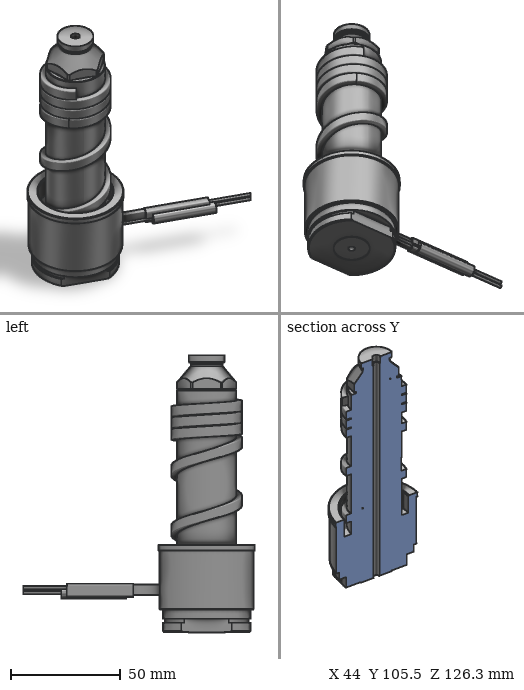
import cadquery as cq
import math

foot_radius = 8.2
flange_bottom = 0.4
groove_bottom = 4.5
groove_top = 6.5
cup_bottom = 10.5
rim_bottom = 37.3
rim_top = 40.2
flange_radius = 20.0
groove_radius = 19.2
cup_radius = 21.5
rim_radius = 22.0
flange_chamfer = 0.5
edge_chamfer = 0.4
flat_half_width = 16.3
bore_radius = 16.9
bore_chamfer = 0.5
bore_floor = 30.3

tube_radius = 13.5
tube_top = 110.3
tube_chamfer = 0.3
seat_radius = 11.0
hex_bottom = 110.9
hex_sides = 6
hex_across_flats = 23.9
hex_corner_radius = 13.5
cone_bottom = 113.9
cone_top = 121.2
collar_radius = 7.3
collar_top = 122.1
neck_radius = 7.1
cap_bottom = 122.9
cap_radius = 8.2
part_height = 126.3
channel_radius = 1.5
orifice_radius = 2.0
orifice_depth = 3.8

coil_outer_radius = 16.2
coil_height = 4.9
coil_fillet = 0.5
path_step = 10.0
coil_embed = 0.3
coil_start_angle = -15.0
coil_start_top = 106.8
tight_gap = 0.32
tight_pitch = coil_height + tight_gap
open_pitch = 27.2
tight_sweep = 1092.0
blend_sweep = 119.0
open_sweep = 750.0

lead_x = -1.6
lead_z = 19.6
lead_width = 2.5
lead_fillet = 0.4
lead_start = 19.0
sensor_x = 0.5
sensor_z = 18.0
sensor_radius = 0.6
sleeve_x = -1.3
sleeve_z = 19.3
sleeve_width = 4.2
sleeve_height = 6.0
sleeve_fillet = 1.0
sleeve_start = 33.3
sleeve_end = 63.5
tube_sleeve_x = 0.1
tube_sleeve_z = 18.0
tube_sleeve_radius = 2.7
tube_sleeve_start = 36.5
tube_sleeve_end = 66.2
wire_x = -1.5
wire_radius = 0.8
wire_heights = (20.6, 18.3)
wire_end = 83.5


def disc(radius, bottom, top):
    return cq.Workplane("XY").workplane(offset=bottom).circle(radius).extrude(top - bottom)


def rod_along_y(x, z, radius, start, end):
    return cq.Workplane("XZ", origin=(x, start, z)).circle(radius).extrude(start - end)


def bar_along_y(x, z, width, height, fillet, start, end):
    bar = cq.Workplane("XZ", origin=(x, start, z)).rect(width, height).extrude(start - end)
    return bar.edges("|Y").fillet(fillet)


def make_cup():
    """Flanged cup with two wrench flats facing X and a chamfered bore around the tube."""
    foot = disc(foot_radius, 0, groove_bottom)
    flange = disc(flange_radius, flange_bottom, groove_bottom).faces("<Z").chamfer(flange_chamfer)
    groove = disc(groove_radius, groove_bottom, groove_top)
    flats = cq.Workplane("XY").box(
        2 * flat_half_width, 2 * cup_radius, groove_top, centered=(True, True, False)
    )
    lower = foot.union(flange).union(groove).intersect(flats)
    shoulder = disc(flange_radius, groove_top, cup_bottom)
    body = disc(cup_radius, cup_bottom, rim_bottom).faces("<Z").chamfer(edge_chamfer)
    rim = disc(rim_radius, rim_bottom, rim_top).edges().chamfer(edge_chamfer)
    bore = disc(bore_radius, bore_floor, rim_top)
    bore_mouth = (
        cq.Workplane("XY")
        .workplane(offset=rim_top)
        .circle(bore_radius + bore_chamfer)
        .extrude(-bore_chamfer, taper=45)
    )
    return lower.union(shoulder).union(body).union(rim).cut(bore).cut(bore_mouth)


def make_tube():
    """Plain tube with a narrower seat that carries the tip."""
    tube = disc(tube_radius, bore_floor, tube_top).faces(">Z").chamfer(tube_chamfer)
    return tube.union(disc(seat_radius, tube_top, hex_bottom))


def make_tip():
    """Hexagonal nut with corners on Y, a turned cone, a necked collar and a round cap."""
    nut_profile = [
        (0, hex_bottom),
        (hex_corner_radius, hex_bottom),
        (hex_corner_radius, cone_bottom),
        (collar_radius, cone_top),
        (0, cone_top),
    ]
    turned = cq.Workplane("XZ").polyline(nut_profile).close().revolve()
    hexagon = (
        cq.Workplane("XY")
        .workplane(offset=hex_bottom)
        .transformed(rotate=(0, 0, 180 / hex_sides))
        .polygon(hex_sides, hex_across_flats / math.cos(math.pi / hex_sides))
        .extrude(cone_top - hex_bottom)
    )
    collar = disc(collar_radius, cone_top, collar_top)
    neck = disc(neck_radius, collar_top, cap_bottom)
    cap = disc(cap_radius, cap_bottom, part_height).faces("<Z").chamfer(edge_chamfer)
    return turned.intersect(hexagon).union(collar).union(neck).union(cap)


def coil_drop(sweep):
    """Fall of the coil below its upper end after winding the given number of degrees."""
    tight = min(sweep, tight_sweep)
    blend = min(max(sweep - tight_sweep, 0), blend_sweep)
    opened = max(sweep - tight_sweep - blend_sweep, 0)
    pitch_growth = (open_pitch - tight_pitch) * blend / blend_sweep
    blend_pitch = tight_pitch + pitch_growth / 2
    return (tight * tight_pitch + blend * blend_pitch + opened * open_pitch) / 360


def make_coil_section(first, last):
    """One stretch of the coil between two winding angles."""
    inner_radius = tube_radius - coil_embed
    mid_radius = (inner_radius + coil_outer_radius) / 2
    center_height = coil_start_top - coil_height / 2

    def center_point(t):
        sweep = first + t * (last - first)
        angle = math.radians(coil_start_angle - sweep)
        height = center_height - coil_drop(sweep)
        return (mid_radius * math.cos(angle), mid_radius * math.sin(angle), height)

    samples = math.ceil((last - first) / path_step)
    path = cq.Workplane("XY").parametricCurve(center_point, N=samples, makeWire=True)
    start_angle = math.radians(coil_start_angle - first)
    section_plane = cq.Plane(
        origin=center_point(0),
        xDir=(math.cos(start_angle), math.sin(start_angle), 0),
        normal=(math.sin(start_angle), -math.cos(start_angle), 0),
    )
    section = cq.Sketch().rect(coil_outer_radius - inner_radius, coil_height).vertices().fillet(coil_fillet)
    upright_guide = path.translate((0, 0, coil_height))
    return cq.Workplane(section_plane).placeSketch(section).sweep(path, auxSpine=upright_guide)


def make_leads():
    """Flat lead and round sensor lead, each in a sleeve, ending in two thin wires."""
    leads = bar_along_y(lead_x, lead_z, lead_width, coil_height, lead_fillet, lead_start, sleeve_end)
    leads = leads.union(rod_along_y(sensor_x, sensor_z, sensor_radius, lead_start, sleeve_end))
    leads = leads.union(
        bar_along_y(
            sleeve_x, sleeve_z, sleeve_width, sleeve_height, sleeve_fillet, sleeve_start, sleeve_end
        )
    )
    leads = leads.union(
        rod_along_y(tube_sleeve_x, tube_sleeve_z, tube_sleeve_radius, tube_sleeve_start, tube_sleeve_end)
    )
    for height in wire_heights:
        leads = leads.union(rod_along_y(wire_x, height, wire_radius, sleeve_start, wire_end))
    return leads


blend_end = tight_sweep + blend_sweep
coil_stops = (0, tight_sweep, blend_end, blend_end + open_sweep)

result = make_cup().union(make_tube()).union(make_tip())
for first, last in zip(coil_stops, coil_stops[1:]):
    result = result.union(make_coil_section(first, last))
result = result.union(make_leads())

channel = disc(channel_radius, 0, part_height)
orifice = disc(orifice_radius, part_height - orifice_depth, part_height)
result = result.cut(channel).cut(orifice)